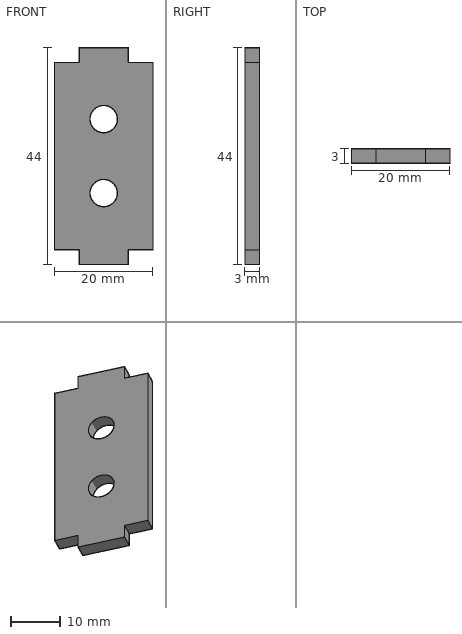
import cadquery as cq

length = 44.0
width = 20.0
thickness = 3.0
tab_width = width / 2
tab_length = thickness
hole_diameter = 5.5
hole_spacing = 15.0

body = cq.Workplane("XY").box(width, thickness, length - 2 * tab_length)

tab_strip = cq.Workplane("XY").box(tab_width, thickness, length)
plate = body.union(tab_strip)

result = (
    plate.faces("<Y")
    .workplane(origin=(0, 0, 0))
    .pushPoints([(0, -hole_spacing / 2), (0, hole_spacing / 2)])
    .hole(hole_diameter)
)